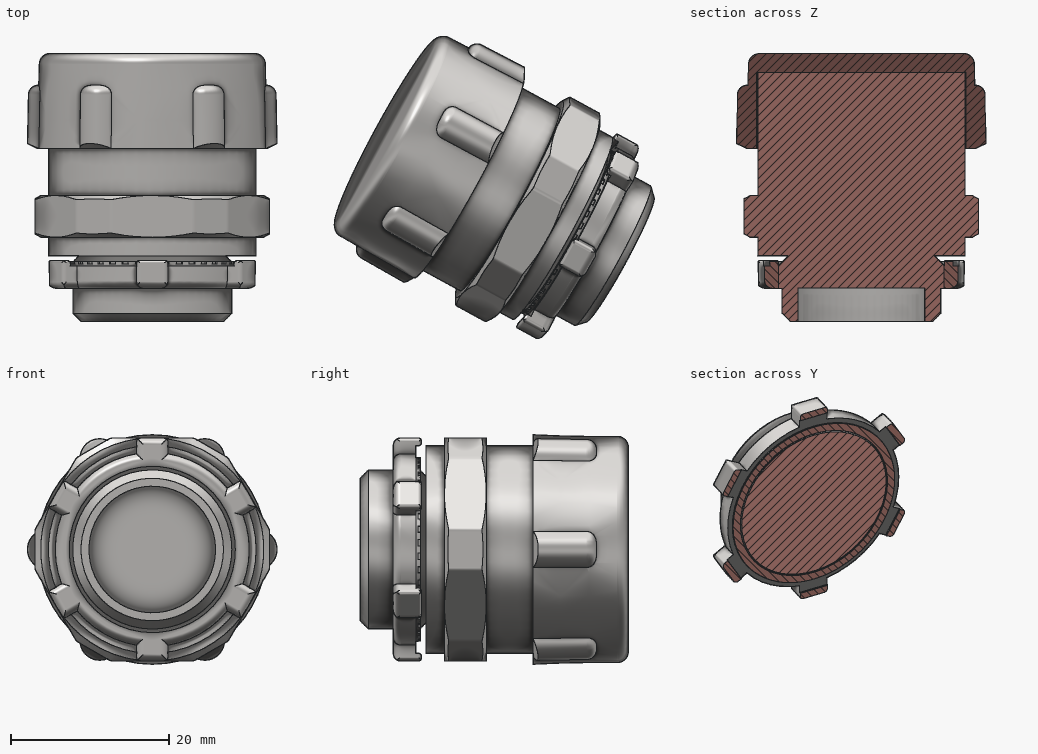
import cadquery as cq
import math


LENGTH = 33.9
LOCKNUT_FRONT = 4.18
LOCKNUT_BACK = 7.05
SHOULDER = 8.3
HEX_FRONT = 10.66
HEX_BACK = 15.94
CAP_FRONT = 21.86
CAP_FLOOR = 31.5

BORE_RADIUS = 16 / 2
BORE_DEPTH = 4.24
THREAD_RADIUS = 20.1 / 2
THREAD_CHAMFER = 1.05
SEAT_RADIUS = 21 / 2
RELIEF_RADIUS = 9.3
COLLAR_RADIUS = 26.25 / 2
HEX_FLATS = 28.2
HEX_CORNER_DISTANCE = 14.83
HEX_CORNER_FILLET = 1.0
HEX_CHAMFER_ANGLE = 30
HEX_SIDES = 6
HEX_HALF_ANGLE = 180 / HEX_SIDES

RING_RADIUS = 12.25
RING_FILLET = RING_RADIUS - 22.4 / 2
LUG_COUNT = 6
LUG_REACH = 14.1
LUG_WIDTH = 3.95
LUG_FRONT_FILLET = 0.95
LUG_SIDE_FILLET = 0.5
LIP_HEIGHT = 0.7
LIP_THICKNESS = 1.0
LIP_FILLET = 0.38
TOOTH_RIM_RADIUS = 11.6
TOOTH_RIM_HEIGHT = 0.55
NOTCH_COUNT = 7 * LUG_COUNT
NOTCH_WIDTH = 0.8
NOTCH_DEPTH = 0.3
NOTCH_INSET = 0.3
NOTCH_START_ANGLE = 360 / NOTCH_COUNT / 2

CAP_RADIUS = 14.51
CAP_BORE_RADIUS = 26.4 / 2
CAP_TAPER = 1.1
CAP_FILLET = 1.4
RIB_COUNT = 6
RIB_RADIUS = 2.5
RIB_REACH = 15.79
RIB_LENGTH = 8.05
RIB_END_FILLET = 1.25
RIB_CHAMFER_ANGLE = 27


def revolve_about_y(profile):
    """Turn a closed profile of (radius, y) in the XY plane about the Y axis."""
    return profile.revolve(360, (0, 0, 0), (0, 1, 0))


def turned(points):
    """Turn a closed polyline of (radius, y) points about the Y axis."""
    return revolve_about_y(cq.Workplane("XY").polyline(points).close())


def along_y(start):
    """Workplane at y = start whose extrusions run toward +Y and whose local X is global X."""
    return cq.Workplane("XZ", origin=(0, start, 0))


def around_axis(shape, count, start_angle=0):
    """Copies of a shape spread evenly about the Y axis."""
    step = 360 / count
    return [shape.rotate((0, 0, 0), (0, 1, 0), start_angle + i * step) for i in range(count)]


def hexagon():
    height = HEX_BACK - HEX_FRONT
    flats_to_corners = 1 / math.cos(math.radians(HEX_HALF_ANGLE))
    across_corners = HEX_FLATS * flats_to_corners
    prism = along_y(HEX_FRONT).polygon(HEX_SIDES, across_corners).extrude(-height)
    truncation = along_y(HEX_FRONT).polygon(HEX_SIDES, 2 * HEX_CORNER_DISTANCE * flats_to_corners)
    truncation = truncation.extrude(-height).rotate((0, 0, 0), (0, 1, 0), HEX_HALF_ANGLE)
    prism = prism.intersect(truncation).edges("|Y").fillet(HEX_CORNER_FILLET)

    inner = HEX_FLATS / 2
    outer = across_corners / 2
    drop = (outer - inner) * math.tan(math.radians(HEX_CHAMFER_ANGLE))
    chamfer_envelope = turned([
        (0, HEX_FRONT),
        (inner, HEX_FRONT),
        (outer, HEX_FRONT + drop),
        (outer, HEX_BACK - drop),
        (inner, HEX_BACK),
        (0, HEX_BACK),
    ])
    return prism.intersect(chamfer_envelope)


def make_gland_body():
    relief_start = SHOULDER - (SEAT_RADIUS - RELIEF_RADIUS)
    core = turned([
        (0, BORE_DEPTH),
        (BORE_RADIUS, BORE_DEPTH),
        (BORE_RADIUS, 0),
        (THREAD_RADIUS - THREAD_CHAMFER, 0),
        (THREAD_RADIUS, THREAD_CHAMFER),
        (THREAD_RADIUS, LOCKNUT_FRONT),
        (SEAT_RADIUS, LOCKNUT_FRONT),
        (SEAT_RADIUS, relief_start),
        (RELIEF_RADIUS, SHOULDER),
        (COLLAR_RADIUS, SHOULDER),
        (COLLAR_RADIUS, CAP_FLOOR),
        (0, CAP_FLOOR),
    ])
    return core.union(hexagon())


def locknut_lug():
    """One lug pointing along +Z: three rounded profiles intersected, with mitered roundings."""
    lip_back = LOCKNUT_BACK + LIP_HEIGHT
    depth = lip_back - LOCKNUT_FRONT
    root = (SEAT_RADIUS + RING_RADIUS - RING_FILLET) / 2

    outline = (
        along_y(LOCKNUT_FRONT)
        .center(0, LUG_REACH / 2)
        .rect(LUG_WIDTH, LUG_REACH)
        .extrude(-depth)
        .edges("|Y and >Z")
        .fillet(LUG_SIDE_FILLET)
    )
    side = (
        cq.Workplane("YZ")
        .moveTo(LOCKNUT_FRONT, root)
        .lineTo(LOCKNUT_FRONT, LUG_REACH - LUG_FRONT_FILLET)
        .radiusArc((LOCKNUT_FRONT + LUG_FRONT_FILLET, LUG_REACH), LUG_FRONT_FILLET)
        .lineTo(lip_back - LIP_FILLET, LUG_REACH)
        .radiusArc((lip_back, LUG_REACH - LIP_FILLET), LIP_FILLET)
        .lineTo(lip_back, LUG_REACH - LIP_THICKNESS + LIP_FILLET)
        .radiusArc((lip_back - LIP_FILLET, LUG_REACH - LIP_THICKNESS), LIP_FILLET)
        .lineTo(LOCKNUT_BACK, LUG_REACH - LIP_THICKNESS)
        .lineTo(LOCKNUT_BACK, root)
        .close()
        .extrude(LUG_WIDTH / 2, both=True)
    )
    plan = (
        cq.Workplane("XY", origin=(0, LOCKNUT_FRONT + depth / 2, 0))
        .rect(LUG_WIDTH, depth)
        .extrude(LUG_REACH)
        .edges("|Z and <Y")
        .fillet(LUG_FRONT_FILLET)
        .edges("|Z and >Y")
        .fillet(LIP_FILLET)
    )
    return outline.intersect(side).intersect(plan)


def tooth_notches():
    rim_back = LOCKNUT_BACK + TOOTH_RIM_HEIGHT
    notch = cq.Workplane("XY").box(2 * NOTCH_INSET, 2 * NOTCH_DEPTH, NOTCH_WIDTH)
    notch = notch.translate((TOOTH_RIM_RADIUS, rim_back, 0))
    return cq.Compound.makeCompound(
        [copy.val() for copy in around_axis(notch, NOTCH_COUNT, NOTCH_START_ANGLE)]
    )


def make_locknut():
    rim_back = LOCKNUT_BACK + TOOTH_RIM_HEIGHT
    locknut = revolve_about_y(
        cq.Workplane("XY")
        .moveTo(SEAT_RADIUS, LOCKNUT_FRONT)
        .lineTo(RING_RADIUS - RING_FILLET, LOCKNUT_FRONT)
        .radiusArc((RING_RADIUS, LOCKNUT_FRONT + RING_FILLET), -RING_FILLET)
        .lineTo(RING_RADIUS, LOCKNUT_BACK)
        .lineTo(TOOTH_RIM_RADIUS, LOCKNUT_BACK)
        .lineTo(TOOTH_RIM_RADIUS, rim_back)
        .lineTo(SEAT_RADIUS, rim_back)
        .close()
    )
    for lug in around_axis(locknut_lug(), LUG_COUNT):
        locknut = locknut.union(lug)
    return locknut.cut(cq.Workplane(tooth_notches()))


def cap_rib():
    """Tapered half-round grip rib at +X, with a conical front end and a rounded back end."""
    rib = (
        along_y(CAP_FRONT)
        .center(RIB_REACH - RIB_RADIUS, 0)
        .circle(RIB_RADIUS)
        .extrude(-RIB_LENGTH)
        .faces(">Y")
        .edges()
        .fillet(RIB_END_FILLET)
        .rotate((RIB_REACH, CAP_FRONT, 0), (RIB_REACH, CAP_FRONT, 1), CAP_TAPER)
    )
    overshoot = 2 * RIB_RADIUS
    cone_rise = overshoot * math.tan(math.radians(RIB_CHAMFER_ANGLE))
    front_cone = turned([
        (0, CAP_FRONT),
        (CAP_RADIUS, CAP_FRONT),
        (CAP_RADIUS + overshoot, CAP_FRONT + cone_rise),
        (CAP_RADIUS + overshoot, LENGTH),
        (0, LENGTH),
    ])
    return rib.intersect(front_cone)


def make_cap_nut():
    fillet_start = LENGTH - CAP_FILLET
    back_radius = CAP_RADIUS - (fillet_start - CAP_FRONT) * math.tan(math.radians(CAP_TAPER))
    cap = revolve_about_y(
        cq.Workplane("XY")
        .moveTo(0, CAP_FRONT)
        .lineTo(CAP_RADIUS, CAP_FRONT)
        .lineTo(back_radius, fillet_start)
        .radiusArc((back_radius - CAP_FILLET, LENGTH), -CAP_FILLET)
        .lineTo(0, LENGTH)
        .close()
    )
    for rib in around_axis(cap_rib(), RIB_COUNT):
        cap = cap.union(rib)
    bore = along_y(CAP_FRONT).circle(CAP_BORE_RADIUS).extrude(CAP_FRONT - CAP_FLOOR)
    return cap.cut(bore)


gland_body = make_gland_body()
locknut = make_locknut()
cap_nut = make_cap_nut()

result = cq.Compound.makeCompound([
    gland_body.solids().val(),
    locknut.solids().val(),
    cap_nut.solids().val(),
])